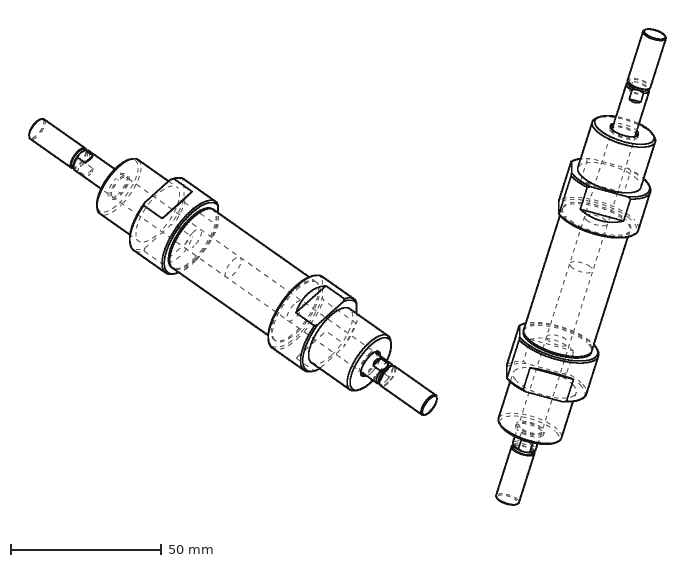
import cadquery as cq
import math

LENGTH = 175.0
BODY_SHIFT = 4.9
BODY_LENGTH = 112.7
NOSE_LENGTH = 17.8
NOSE_RADIUS = 11.0
NOSE_CHAMFER = 0.7
COLLAR_LENGTH = 15.4
COLLAR_RADIUS = 14.5
COLLAR_CHAMFER = 0.5
SIDE_FLAT = 13.1
WRENCH_FLAT = 12.5
WRENCH_FLAT_LENGTH = 8.8
WRENCH_RUNOUT_ANGLE = 30.0
TUBE_RADIUS = 11.9
SHOULDER_LENGTH = 0.5

ROD_RADIUS = 4.0
THREAD_LENGTH = 18.7
ROD_TIP_CHAMFER = 0.4
NECK_RADIUS = 3.5
NECK_LENGTH = 0.9
ROD_FLAT = 3.5
ROD_FLAT_END = 23.5
ROD_RUNOUT_ANGLE = 45.0
RECESS_RADIUS = 4.9
RECESS_DEPTH = 0.9

CAP_LENGTH = NOSE_LENGTH + COLLAR_LENGTH + SHOULDER_LENGTH
TUBE_LENGTH = BODY_LENGTH - 2 * CAP_LENGTH


def cylinder(radius, start, length):
    """Solid cylinder along +X, beginning at x = start."""
    return cq.Workplane("YZ", origin=(start, 0, 0)).circle(radius).extrude(length)


def flat_cutter(start, end, height, outer_radius, runout_angle):
    """Block above z = height from start to end, closed by a leaning run-out face."""
    rise = outer_radius - height
    lean = rise * math.tan(math.radians(runout_angle))
    profile = [(start, height), (end, height), (end + lean, outer_radius), (start, outer_radius)]
    return cq.Workplane("XZ").polyline(profile).close().extrude(outer_radius, both=True)


def cut_opposite_flats(body, cutter):
    """Cut the same flat on the +Z and the -Z side."""
    return body.cut(cutter).cut(cutter.mirror("XY"))


def make_cap():
    """End cap with its outer face at x = 0: nose, collar, then the shoulder that meets the tube."""
    nose = cylinder(NOSE_RADIUS, 0, NOSE_LENGTH).faces("<X").chamfer(NOSE_CHAMFER)
    collar = cylinder(COLLAR_RADIUS, NOSE_LENGTH, COLLAR_LENGTH)
    collar = collar.faces("<X or >X").edges().chamfer(COLLAR_CHAMFER)

    side_block = cq.Workplane("XY").box(
        COLLAR_LENGTH, COLLAR_RADIUS, 2 * COLLAR_RADIUS, centered=(False, False, True)
    )
    collar = collar.cut(side_block.translate((NOSE_LENGTH, SIDE_FLAT, 0)))

    flat_end = NOSE_LENGTH + WRENCH_FLAT_LENGTH
    wrench_cutter = flat_cutter(NOSE_LENGTH, flat_end, WRENCH_FLAT, COLLAR_RADIUS, WRENCH_RUNOUT_ANGLE)
    collar = cut_opposite_flats(collar, wrench_cutter)

    shoulder = cylinder(TUBE_RADIUS, NOSE_LENGTH + COLLAR_LENGTH, SHOULDER_LENGTH)
    bore = cylinder(ROD_RADIUS, 0, CAP_LENGTH)
    recess = cylinder(RECESS_RADIUS, 0, RECESS_DEPTH)
    return nose.union(collar).union(shoulder).cut(bore).cut(recess)


def make_rod():
    """Piston rod with its tip at x = 0, reaching to the middle of the cylinder."""
    neck_end = THREAD_LENGTH + NECK_LENGTH
    shoulder = neck_end + ROD_RADIUS - NECK_RADIUS
    half_length = LENGTH / 2
    profile = [
        (0, 0),
        (0, ROD_RADIUS - ROD_TIP_CHAMFER),
        (ROD_TIP_CHAMFER, ROD_RADIUS),
        (THREAD_LENGTH, ROD_RADIUS),
        (THREAD_LENGTH, NECK_RADIUS),
        (neck_end, NECK_RADIUS),
        (shoulder, ROD_RADIUS),
        (half_length, ROD_RADIUS),
        (half_length, 0),
    ]
    rod = cq.Workplane("XY").polyline(profile).close().revolve(360, (0, 0, 0), (1, 0, 0))
    cutter = flat_cutter(neck_end, ROD_FLAT_END, ROD_FLAT, ROD_RADIUS, ROD_RUNOUT_ANGLE)
    return cut_opposite_flats(rod, cutter)


def make_tube():
    """Cylinder tube between the two collars, bored for the rods."""
    start = BODY_SHIFT - TUBE_LENGTH / 2
    return cylinder(TUBE_RADIUS, start, TUBE_LENGTH).cut(cylinder(ROD_RADIUS, start, TUBE_LENGTH))


tube = make_tube()
caps = []
rods = []
for mirrored in (False, True):
    cap = make_cap().translate((-BODY_LENGTH / 2, 0, 0))
    rod = make_rod().translate((-LENGTH / 2, 0, 0))
    if mirrored:
        cap = cap.mirror("YZ")
        rod = rod.mirror("YZ")
    caps.append(cap.translate((BODY_SHIFT, 0, 0)))
    rods.append(rod)

result = cq.Compound.makeCompound(
    [tube.val()] + [cap.val() for cap in caps] + [rod.val() for rod in rods]
)